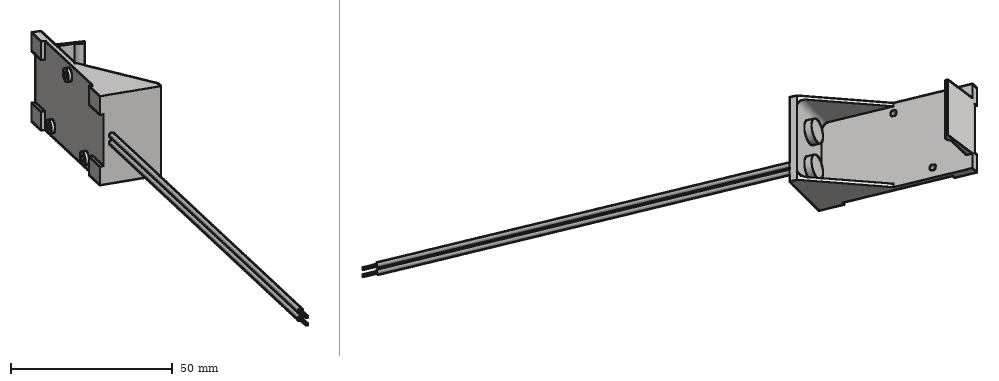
import cadquery as cq


total_length = 209.6
holder_length = 54.5
holder_height = 20.5
holder_width = 30.0

floor_underside = 1.3
floor_top = 3.1
foot_width = 6.3
clip_end_foot_length = 7.8
wall_end_foot_length = 8.8
boss_diameter = 4.5
screw_hole_diameter = 2.0
boss_spacing = 27.0
boss_offset = 11.3

wall_thickness = 2.5
side_wall_length = 27.2
side_wall_thickness = 1.3
corner_radius = 2.5

clip_width = 19.7
clip_top = 17.0
clip_base_thickness = 2.0
clip_lean = 1.7
clip_inner_lean = 0.2
catch_height = 3.5
catch_depth = 1.0

contact_spacing = 12.8
contact_diameter = 8.0
contact_length = 2.5
contact_height = 11.3

wire_spacing = 2.5
wire_height = 4.0
sleeve_diameter = 1.78
core_diameter = 0.8
stripped_length = 5.0

wall_face = holder_length - wall_thickness
half_width = holder_width / 2


def block(x_range, y_range, z_range):
    """Box between the given limits along each axis."""
    size = [end - start for start, end in (x_range, y_range, z_range)]
    corner = (x_range[0], y_range[0], z_range[0])
    return cq.Workplane("XY").box(*size, centered=False).translate(corner)


def rod(diameter, start_x, end_x, y, z):
    """Cylinder along X."""
    return (
        cq.Workplane("YZ", origin=(start_x, y, z))
        .circle(diameter / 2)
        .extrude(end_x - start_x)
    )


def make_floor():
    floor = block((0, holder_length), (floor_underside, floor_top), (-half_width, half_width))
    foot_x_ranges = (
        (0, clip_end_foot_length),
        (holder_length - wall_end_foot_length, holder_length),
    )
    foot_z_ranges = (
        (-half_width, foot_width - half_width),
        (half_width - foot_width, half_width),
    )
    for x_range in foot_x_ranges:
        for z_range in foot_z_ranges:
            floor = floor.union(block(x_range, (0, floor_underside), z_range))
    return floor


def add_screw_bosses(holder):
    """Three bosses in a triangle, flush with the feet and drilled through the floor."""
    middle = holder_length / 2
    boss_places = (
        (middle, boss_offset),
        (middle - boss_spacing / 2, -boss_offset),
        (middle + boss_spacing / 2, -boss_offset),
    )
    for x, z in boss_places:
        axis = cq.Workplane("XZ").center(x, z)
        holder = holder.union(axis.circle(boss_diameter / 2).extrude(-floor_underside))
        holder = holder.cut(axis.circle(screw_hole_diameter / 2).extrude(-floor_top))
    return holder


def make_contact_wall():
    """End wall with sloping side walls and rounded inner corners."""
    walls = (
        cq.Workplane("XY", origin=(0, 0, -half_width))
        .moveTo(holder_length - side_wall_length, floor_top)
        .lineTo(wall_face, holder_height)
        .lineTo(holder_length, holder_height)
        .lineTo(holder_length, floor_top)
        .close()
        .extrude(holder_width)
    )
    inner_half_width = half_width - side_wall_thickness
    battery_space = block(
        (0, wall_face), (floor_top, holder_height), (-inner_half_width, inner_half_width)
    )
    return walls.cut(battery_space.edges("|Y and >X").fillet(corner_radius))


def make_clip():
    """Leaning tab with a rounded catch on the inner side of its tip."""
    inner_tip_x = clip_base_thickness + clip_inner_lean
    catch_bottom = clip_top - catch_height
    return (
        cq.Workplane("XY", origin=(0, 0, -clip_width / 2))
        .moveTo(0, floor_top)
        .lineTo(clip_base_thickness, floor_top)
        .lineTo(inner_tip_x, catch_bottom)
        .threePointArc(
            (inner_tip_x + catch_depth, clip_top - catch_height / 2),
            (inner_tip_x, clip_top),
        )
        .lineTo(clip_lean, clip_top)
        .close()
        .extrude(clip_width)
    )


def make_holder():
    holder = make_floor().union(make_contact_wall()).union(make_clip())
    return add_screw_bosses(holder)


def make_contact(z):
    return rod(contact_diameter, wall_face - contact_length, wall_face, contact_height, z)


def make_core(z):
    return rod(core_diameter, holder_length, total_length, wire_height, z)


def make_sleeve(z):
    sleeve = rod(sleeve_diameter, holder_length, total_length - stripped_length, wire_height, z)
    return sleeve.cut(make_core(z))


bodies = [make_holder().val()]
for side in (-1, 1):
    bodies.append(make_contact(side * contact_spacing / 2).val())
    bodies.append(make_sleeve(side * wire_spacing / 2).val())
    bodies.append(make_core(side * wire_spacing / 2).val())

result = cq.Compound.makeCompound(bodies)